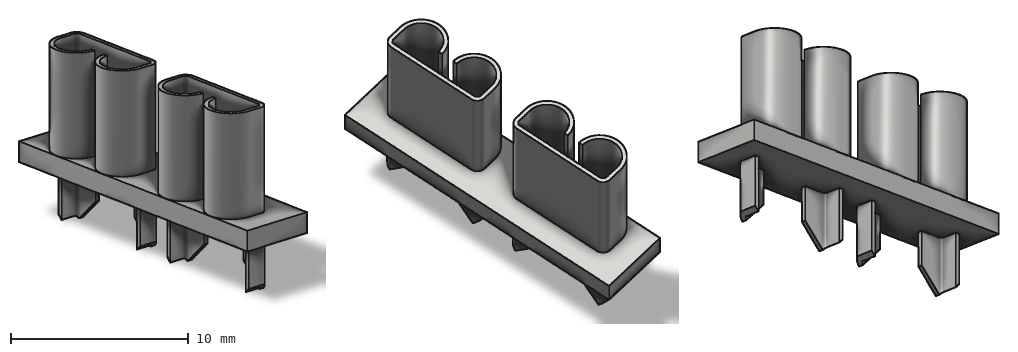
import cadquery as cq

BASE_LENGTH = 19.3
BASE_DEPTH = 4.5
BASE_THICKNESS = 1.25

CLIP_WIDTH = 6.9
CLIP_HEIGHT = 6.35
CLIP_PITCH = 9.19
CLIP_SETBACK = 0.02
SHEET = 0.27
LOBE_RADIUS = 1.52
SIDE_DEPTH = 1.45
CLIP_CORNER_RADIUS = 0.52

LEG_WIDTH = 1.81
LEG_LENGTH = 3.5
LEG_CORNER_RADIUS = 0.42
LEG_INNER_RADIUS = 0.21
LEG_TIP_OFFSET = 0.42

CLIP_CENTERS = [BASE_LENGTH / 2 + side * CLIP_PITCH / 2 for side in (-1, 1)]
LOBE_CENTER_Y = CLIP_SETBACK + LOBE_RADIUS
CLIP_BACK_Y = LOBE_CENTER_Y + SIDE_DEPTH


def clip_outline(inset):
    """Closed profile of a clip, centred on X = 0, shrunk inward by the inset."""
    half_width = CLIP_WIDTH / 2 - inset
    radius = LOBE_RADIUS - inset
    lobe_center_x = CLIP_WIDTH / 2 - LOBE_RADIUS
    lip_x = lobe_center_x - radius
    front_y = LOBE_CENTER_Y - radius
    back_y = CLIP_BACK_Y - inset
    return (
        cq.Workplane("XY", origin=(0, 0, BASE_THICKNESS))
        .moveTo(-half_width, back_y)
        .lineTo(-half_width, LOBE_CENTER_Y)
        .threePointArc((-lobe_center_x, front_y), (-lip_x, LOBE_CENTER_Y))
        .lineTo(lip_x, LOBE_CENTER_Y)
        .threePointArc((lobe_center_x, front_y), (half_width, LOBE_CENTER_Y))
        .lineTo(half_width, back_y)
        .close()
        .extrude(CLIP_HEIGHT)
        .edges("|Z and >Y")
        .fillet(CLIP_CORNER_RADIUS - inset)
    )


def make_base():
    return cq.Workplane("XY").box(BASE_LENGTH, BASE_DEPTH, BASE_THICKNESS, centered=False)


def make_clip(center_x):
    """B-shaped open sheet: flat back, two sides and two inward-curled lobes."""
    clip = clip_outline(0).cut(clip_outline(SHEET))
    return clip.translate((center_x, 0, 0))


def make_leg(center_x, side):
    """Pointed angle leg under one side (-1 left, 1 right) of a clip."""
    leg = (
        cq.Workplane("XY")
        .moveTo(0, LOBE_CENTER_Y)
        .lineTo(SHEET, LOBE_CENTER_Y)
        .lineTo(SHEET, CLIP_BACK_Y - SHEET)
        .lineTo(LEG_WIDTH, CLIP_BACK_Y - SHEET)
        .lineTo(LEG_WIDTH, CLIP_BACK_Y)
        .lineTo(0, CLIP_BACK_Y)
        .close()
        .extrude(-LEG_LENGTH)
    )
    leg = leg.edges(cq.NearestToPointSelector((0, CLIP_BACK_Y, -LEG_LENGTH / 2))).fillet(LEG_CORNER_RADIUS)
    inner_corner = (SHEET, CLIP_BACK_Y - SHEET, -LEG_LENGTH / 2)
    leg = leg.edges(cq.NearestToPointSelector(inner_corner)).fillet(LEG_INNER_RADIUS)

    pointed_silhouette = (
        cq.Workplane("XZ")
        .moveTo(0, 0)
        .lineTo(0, LEG_TIP_OFFSET - LEG_LENGTH)
        .lineTo(LEG_TIP_OFFSET, -LEG_LENGTH)
        .lineTo(LEG_WIDTH, LEG_WIDTH - LEG_TIP_OFFSET - LEG_LENGTH)
        .lineTo(LEG_WIDTH, 0)
        .close()
        .extrude(-BASE_DEPTH)
    )
    leg = leg.intersect(pointed_silhouette)
    if side > 0:
        leg = leg.mirror("YZ")
    return leg.translate((center_x + side * CLIP_WIDTH / 2, 0, 0))


base = make_base()
clips = [make_clip(x) for x in CLIP_CENTERS]
legs = [make_leg(x, side) for x in CLIP_CENTERS for side in (-1, 1)]

result = cq.Compound.makeCompound([body.val() for body in [base, *clips, *legs]])